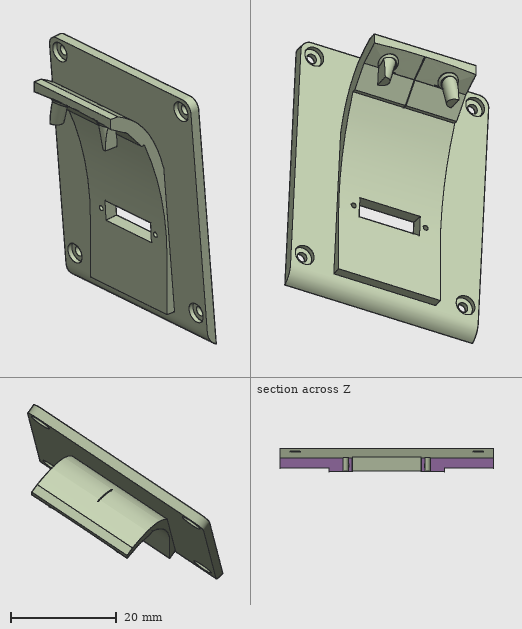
import cadquery as cq
import math

plate_width = 40.4
plate_thickness = 2.0
total_height = 52.75
lean_angle = 5.0
plate_length = total_height / math.cos(math.radians(lean_angle))
corner_radius = 2.2
toe_radius = 2 * plate_thickness

screw_diameter = 2.0
counterbore_diameter = 4.0
counterbore_depth = plate_thickness / 2
screw_spacing = 34.6
screw_heights = (6.55, 50.1)

arm_width = 21.9
arm_bottom = 4.2
arm_front_reach = 4.25
arm_root_reach = 1.35
curve_start = 16.25
curve_radius = 59.05
ledge_height = 41.55
ledge_reach = 10.7
lip_reach = 18.45
lip_bottom = 47.55
lip_top = 49.7
lip_top_reach = 16.65
knee = (14.35, 45.45)
outer_front_middle = (14.15, 48.4)
outer_upper_edge = (11.8, 46.85)
outer_middle = (9.6, 44.5)
outer_lower_edge = (7.6, 41.45)
outer_rear_middle = (6.35, 38.75)
outer_root = (5.3, 35.65)
buried_root = (3.8, 32.15)
dish_depth = 0.4

slit_width = 0.15

peg_diameter = 3.0
peg_reach = 15.65
peg_flat_x = 7.9
peg_foot_x = 7.83
peg_tilt = 15.0
peg_length = 7.9
peg_cover = 0.55
flare_diameter = 3.95
flare_height = 0.4
flare_cover = 0.4
flare_x = 6.45

window_width = 13.0
window_height = 4.2
window_position = 20.15
small_hole_diameter = 1.0
small_hole_spacing = 15.45
through_depth = 10.55


def lean(body):
    """Tip an upright body forward to the angle of the plate."""
    return body.rotate((0, 0, 0), (1, 0, 0), lean_angle)


def side_profile():
    """Sketch plane with reach toward -Y as its first axis and Z as its second."""
    return cq.Workplane(cq.Plane(origin=(0, 0, 0), xDir=(0, -1, 0), normal=(-1, 0, 0)))


def make_plate():
    toe_length = math.sqrt(toe_radius**2 - (toe_radius - plate_thickness) ** 2)
    toe_sweep = math.acos(1 - plate_thickness / toe_radius) / 2
    toe_middle = (
        plate_thickness - toe_radius * (1 - math.cos(toe_sweep)),
        toe_length - toe_radius * math.sin(toe_sweep),
    )
    plate = (
        side_profile()
        .moveTo(0, 0)
        .threePointArc(toe_middle, (plate_thickness, toe_length))
        .lineTo(plate_thickness, plate_length)
        .lineTo(0, plate_length)
        .close()
        .extrude(plate_width / 2, both=True)
        .edges("|Y and >Z")
        .fillet(corner_radius)
    )
    screw_points = [(side * screw_spacing / 2, height) for side in (-1, 1) for height in screw_heights]
    plate = (
        cq.Workplane("XZ", origin=(0, -plate_thickness, 0))
        .add(plate)
        .pushPoints(screw_points)
        .cboreHole(screw_diameter, counterbore_diameter, counterbore_depth)
    )
    return lean(plate)


def make_arm():
    rise = ledge_height - curve_start
    curve_angle = math.asin(rise / curve_radius)

    def front_curve(angle):
        return (
            arm_front_reach + curve_radius * (1 - math.cos(angle)),
            curve_start + curve_radius * math.sin(angle),
        )

    arm = (
        side_profile()
        .moveTo(arm_root_reach, arm_bottom)
        .lineTo(arm_front_reach, arm_bottom)
        .lineTo(arm_front_reach, curve_start)
        .threePointArc(front_curve(curve_angle / 2), front_curve(curve_angle))
        .lineTo(ledge_reach, ledge_height)
        .lineTo(*knee)
        .lineTo(lip_reach, lip_bottom)
        .lineTo(lip_reach, lip_top)
        .lineTo(lip_top_reach, lip_top)
        .threePointArc(outer_front_middle, outer_upper_edge)
        .threePointArc(outer_middle, outer_lower_edge)
        .threePointArc(outer_rear_middle, outer_root)
        .lineTo(*buried_root)
        .close()
        .extrude(arm_width / 2, both=True)
    )
    return arm.cut(make_dish()).cut(make_slit())


def make_dish():
    """Shallow trough under the lip, deepening from the knee toward the front."""
    run = lip_reach - knee[0]
    rise = lip_bottom + dish_depth - knee[1]
    section = cq.Plane(origin=(0, -lip_reach, lip_bottom), xDir=(1, 0, 0), normal=(0, -run, rise))
    return (
        cq.Workplane(section)
        .moveTo(-arm_width / 2, 0)
        .threePointArc((0, dish_depth), (arm_width / 2, 0))
        .close()
        .extrude(math.hypot(run, rise), both=True)
    )


def make_slit():
    return (
        side_profile()
        .moveTo(outer_lower_edge[0], ledge_height)
        .lineTo(ledge_reach, ledge_height)
        .lineTo(*knee)
        .lineTo(lip_reach, lip_bottom)
        .lineTo(lip_reach, lip_bottom + dish_depth)
        .lineTo(*outer_upper_edge)
        .lineTo(outer_lower_edge[0], outer_upper_edge[1])
        .close()
        .extrude(slit_width / 2, both=True)
    )


def make_peg():
    """Peg on the +X side, running from the ledge height up into the arm."""
    shaft = (
        cq.Workplane("XY")
        .circle(peg_diameter / 2)
        .extrude(2 * peg_length, both=True)
        .rotate((0, 0, 0), (0, 1, 0), -peg_tilt)
        .translate((peg_foot_x, -peg_reach, ledge_height))
    )
    rear = peg_reach - peg_diameter / 2
    front = peg_reach + peg_diameter / 2
    envelope = (
        side_profile()
        .moveTo(rear, ledge_height)
        .lineTo(front, ledge_height)
        .lineTo(front, lip_bottom + peg_cover)
        .lineTo(rear, knee[1] + peg_cover)
        .close()
        .extrude(-peg_flat_x)
    )
    return shaft.intersect(envelope)


def make_flare():
    """Conical collar where the +X peg meets the sloping underside of the lip."""
    run = lip_reach - knee[0]
    rise = lip_bottom - knee[1]
    root_height = knee[1] + rise / run * (peg_reach - knee[0])
    underside = cq.Plane(origin=(flare_x, -peg_reach, root_height), xDir=(1, 0, 0), normal=(0, -rise, -run))
    return (
        cq.Workplane(underside)
        .workplane(offset=-flare_cover)
        .circle(flare_diameter / 2)
        .workplane(offset=flare_cover)
        .circle(flare_diameter / 2)
        .workplane(offset=flare_height)
        .circle(peg_diameter / 2)
        .loft(ruled=True)
    )


def make_openings():
    middle = cq.Workplane("XZ", origin=(0, 0, window_position))
    window = middle.rect(window_width, window_height).extrude(through_depth, both=True)
    small_holes = (
        middle.pushPoints([(side * small_hole_spacing / 2, 0) for side in (-1, 1)])
        .circle(small_hole_diameter / 2)
        .extrude(through_depth, both=True)
    )
    return lean(window.union(small_holes))


peg = make_peg().union(make_flare())
arm = make_arm().union(peg).union(peg.mirror("YZ"))
result = make_plate().union(arm).cut(make_openings())